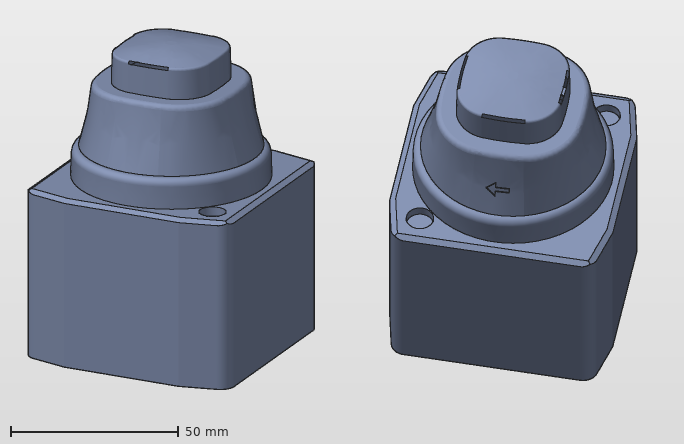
import cadquery as cq
import math

HOUSING_SIZE = 68.0
HOUSING_HEIGHT = 53.2
SIDE_FLAT_HALF = 19.0
SIDE_SLOPE_ANGLE = 13.0
CORNER_RADIUS = 4.6
BEVEL_WIDTH = 1.8
BEVEL_HEIGHT = 1.0

RECESS_X = 25.2
RECESS_Y = 23.6
RECESS_RADIUS = 4.1
RECESS_DEPTH = 2.85

COLLAR_BASE_RADIUS = 30.1
COLLAR_TOP_RADIUS = 29.8
COLLAR_TOP_Z = 62.3
COLLAR_RIM_RADIUS = 2.2

NECK_RADIUS = 24.9

KNOB_BOTTOM_Z = 62.8
KNOB_WAIST_Z = 71.4
KNOB_TOP_Z = 83.6
KNOB_BOTTOM_RADIUS = 27.75
KNOB_BOTTOM_SEAM = 8.5
KNOB_WAIST_HALF_WIDTH = 24.8
KNOB_WAIST_SEAM = 7.9
KNOB_WAIST_SEAM_INSET = 0.8
KNOB_WAIST_DIAGONAL = 25.85
KNOB_TOP_HALF_WIDTH = 22.3
KNOB_TOP_SEAM = 7.3
KNOB_TOP_SEAM_INSET = 0.5
KNOB_TOP_DIAGONAL = 24.3
KNOB_RIM_RADIUS = 1.7

BUTTON_HALF_WIDTH = 16.3
BUTTON_SEAM = 6.6
BUTTON_SEAM_INSET = 0.3
BUTTON_DIAGONAL = 18.3
BUTTON_DRAFT = 0.3
BUTTON_SHOULDER_Z = 93.3
BUTTON_RIM_RADIUS = 0.8
BUTTON_TOP_Z = 95.0
CROWN_SCALES = (1.0, 0.7, 0.4, 0.1)

ARROW_Z = 71.1
ARROW_LENGTH = 7.0
ARROW_HEAD_LENGTH = 2.85
ARROW_HEAD_HALF_HEIGHT = 2.3
ARROW_SHAFT_HALF_HEIGHT = 0.7
ARROW_DEPTH = 0.3


def squircle(z, half_width, seam_half, seam_inset, diagonal):
    """Wire of four gently bowed sides and four corner arcs.

    half_width: centre to the middle of a side
    seam_half:  half length of a side, measured along that side
    seam_inset: how far the ends of a side fall back from its middle
    diagonal:   centre to the middle of a corner arc
    """
    seam_out = half_width - seam_inset
    corner_mid = diagonal * math.sqrt(0.5)
    outline = cq.Workplane("XY").workplane(offset=z).moveTo(seam_out, -seam_half)
    for quarter in range(4):
        turn = math.radians(90 * quarter)

        def turned(x, y):
            return (
                x * math.cos(turn) - y * math.sin(turn),
                x * math.sin(turn) + y * math.cos(turn),
            )

        outline = outline.threePointArc(turned(half_width, 0), turned(seam_out, seam_half))
        outline = outline.threePointArc(turned(corner_mid, corner_mid), turned(seam_half, seam_out))
    return outline.close().val()


def make_housing():
    half = HOUSING_SIZE / 2
    corner_y = half - (half - SIDE_FLAT_HALF) * math.tan(math.radians(SIDE_SLOPE_ANGLE))
    outline = [
        (half, corner_y),
        (SIDE_FLAT_HALF, half),
        (-SIDE_FLAT_HALF, half),
        (-half, corner_y),
        (-half, -corner_y),
        (-SIDE_FLAT_HALF, -half),
        (SIDE_FLAT_HALF, -half),
        (half, -corner_y),
    ]
    block = cq.Workplane("XY").polyline(outline).close().extrude(HOUSING_HEIGHT)
    beveled = block.faces(">Z").chamfer(BEVEL_HEIGHT, BEVEL_WIDTH)
    rounded = block.edges("|Z").edges("<X or >X").fillet(CORNER_RADIUS)
    housing = rounded.intersect(beveled)
    recesses = (
        cq.Workplane("XY")
        .workplane(offset=HOUSING_HEIGHT)
        .pushPoints([(-RECESS_X, RECESS_Y), (RECESS_X, -RECESS_Y)])
        .circle(RECESS_RADIUS)
        .extrude(-RECESS_DEPTH)
    )
    return housing.cut(recesses)


def make_collar():
    collar = (
        cq.Workplane("XY")
        .workplane(offset=HOUSING_HEIGHT)
        .circle(COLLAR_BASE_RADIUS)
        .workplane(offset=COLLAR_TOP_Z - HOUSING_HEIGHT)
        .circle(COLLAR_TOP_RADIUS)
        .loft()
    )
    return collar.faces(">Z").edges().fillet(COLLAR_RIM_RADIUS)


def make_neck():
    height = KNOB_BOTTOM_Z - HOUSING_HEIGHT
    return cq.Workplane("XY").workplane(offset=HOUSING_HEIGHT).circle(NECK_RADIUS).extrude(height)


def make_knob_body(inset=0.0):
    """Flared knob without its rounded rim, shrunk sideways by inset."""
    bottom_radius = KNOB_BOTTOM_RADIUS - inset
    bottom_inset = bottom_radius - math.sqrt(bottom_radius**2 - KNOB_BOTTOM_SEAM**2)
    bottom = squircle(KNOB_BOTTOM_Z, bottom_radius, KNOB_BOTTOM_SEAM, bottom_inset, bottom_radius)
    waist = squircle(
        KNOB_WAIST_Z,
        KNOB_WAIST_HALF_WIDTH - inset,
        KNOB_WAIST_SEAM,
        KNOB_WAIST_SEAM_INSET,
        KNOB_WAIST_DIAGONAL - inset,
    )
    top = squircle(
        KNOB_TOP_Z,
        KNOB_TOP_HALF_WIDTH - inset,
        KNOB_TOP_SEAM,
        KNOB_TOP_SEAM_INSET,
        KNOB_TOP_DIAGONAL - inset,
    )
    return cq.Workplane(cq.Solid.makeLoft([bottom, waist, top]))


def make_knob():
    knob = make_knob_body().faces(">Z").edges().fillet(KNOB_RIM_RADIUS)
    tip_y = ARROW_LENGTH / 2
    barb_y = tip_y - ARROW_HEAD_LENGTH
    arrow = (
        cq.Workplane("YZ")
        .workplane(offset=-KNOB_BOTTOM_RADIUS)
        .center(0, ARROW_Z)
        .moveTo(tip_y, 0)
        .lineTo(barb_y, ARROW_HEAD_HALF_HEIGHT)
        .lineTo(barb_y, ARROW_SHAFT_HALF_HEIGHT)
        .lineTo(-tip_y, ARROW_SHAFT_HALF_HEIGHT)
        .lineTo(-tip_y, -ARROW_SHAFT_HALF_HEIGHT)
        .lineTo(barb_y, -ARROW_SHAFT_HALF_HEIGHT)
        .lineTo(barb_y, -ARROW_HEAD_HALF_HEIGHT)
        .close()
        .extrude(KNOB_BOTTOM_RADIUS)
    )
    return knob.cut(arrow.cut(make_knob_body(inset=ARROW_DEPTH)))


def make_button():
    def section(z, side_shrink, scale=1.0):
        return squircle(
            z,
            (BUTTON_HALF_WIDTH - side_shrink) * scale,
            BUTTON_SEAM * scale,
            BUTTON_SEAM_INSET * scale,
            (BUTTON_DIAGONAL - side_shrink) * scale,
        )

    shoulder = section(BUTTON_SHOULDER_Z, BUTTON_DRAFT)
    post = cq.Workplane(cq.Solid.makeLoft([section(KNOB_TOP_Z, 0), shoulder], True))
    post = post.faces(">Z").edges().fillet(BUTTON_RIM_RADIUS)
    crown_height = BUTTON_TOP_Z - BUTTON_SHOULDER_Z
    crown_shrink = BUTTON_DRAFT + BUTTON_RIM_RADIUS
    peak_rise = 1 - CROWN_SCALES[-1] ** 2
    crown_sections = [
        section(BUTTON_SHOULDER_Z + crown_height * (1 - scale**2) / peak_rise, crown_shrink, scale)
        for scale in CROWN_SCALES
    ]
    crown = cq.Workplane(cq.Solid.makeLoft(crown_sections))
    return post.union(crown)


result = make_housing().union(make_collar()).union(make_neck()).union(make_knob()).union(make_button())